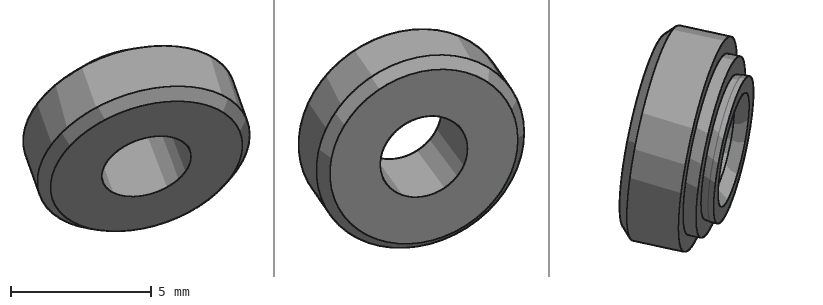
import cadquery as cq

TOTAL_LENGTH = 3.25
PILOT_LAND_LENGTH = 0.22
PILOT_LENGTH = 0.48
STEP_LENGTH = 0.48

HEAD_DIAMETER = 7.87
STEP_DIAMETER = 6.63
PILOT_DIAMETER = 5.39
BORE_DIAMETER = 3.3
COUNTERSINK_DIAMETER = 4.17

UNDERCUT_DEPTH = 0.046
HEAD_CHAMFER = 0.38
COUNTERSINK_DEPTH = (COUNTERSINK_DIAMETER - BORE_DIAMETER) / 2


def make_body():
    """Stepped, chamfered body turned about the X axis."""
    head_start = PILOT_LENGTH + STEP_LENGTH
    head_radius = HEAD_DIAMETER / 2
    step_radius = STEP_DIAMETER / 2
    pilot_radius = PILOT_DIAMETER / 2
    outline = [
        (0, 0),
        (0, pilot_radius),
        (PILOT_LAND_LENGTH, pilot_radius),
        (PILOT_LENGTH, pilot_radius - UNDERCUT_DEPTH),
        (PILOT_LENGTH, step_radius),
        (head_start, step_radius),
        (head_start, head_radius),
        (TOTAL_LENGTH - HEAD_CHAMFER, head_radius),
        (TOTAL_LENGTH, head_radius - HEAD_CHAMFER),
        (TOTAL_LENGTH, 0),
    ]
    return cq.Workplane("XY").polyline(outline).close().revolve(360, (0, 0, 0), (1, 0, 0))


def make_bore():
    """Through bore with a conical countersink at the pilot end."""
    bore_radius = BORE_DIAMETER / 2
    outline = [
        (0, 0),
        (0, COUNTERSINK_DIAMETER / 2),
        (COUNTERSINK_DEPTH, bore_radius),
        (TOTAL_LENGTH, bore_radius),
        (TOTAL_LENGTH, 0),
    ]
    return cq.Workplane("XY").polyline(outline).close().revolve(360, (0, 0, 0), (1, 0, 0))


result = make_body().cut(make_bore())